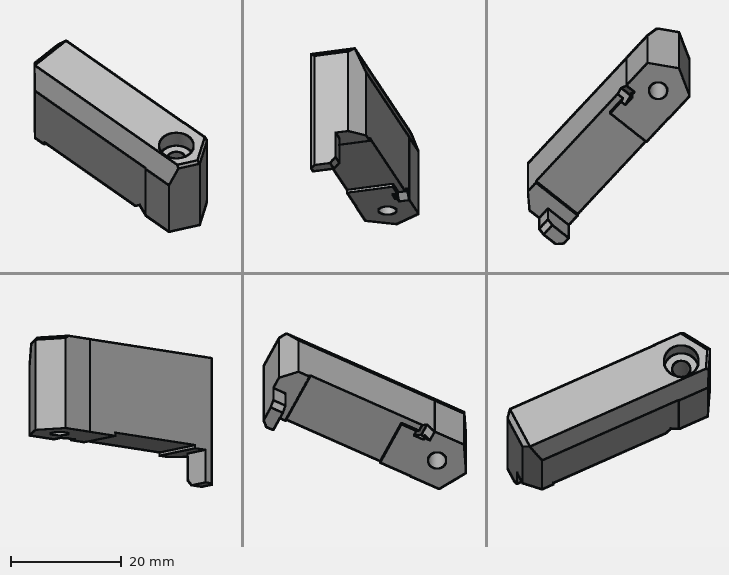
import cadquery as cq
import math

length = 38.8
height = 23.0
hex_width = 10.05
bar_width = 9.95
foot_drop = 5.98

bevel_height = 4.45
bevel_top_y = -3.3
front_corner_chamfer = 2.65
end_chamfer = 1.0
hex_top_chamfer = 0.5

foot_length = 2.45
foot_tip_chamfer = 1.05

recess_start = 4.93
recess_end = 23.98
recess_height = 0.6
setback_y = -3.7

notch_center = 28.5
notch_half_width = 1.5
notch_height = 1.63
notch_back_y = -3.05
notch_pocket_y = -2.68
notch_pocket_end = 29.0

hole_diameter = 3.3
counterbore_diameter = 6.25
counterbore_depth = 3.5

hex_radius = hex_width / math.sqrt(3)
hex_x = length - hex_radius
body_height = height - foot_drop


def box(x0, x1, y0, y1, z0, z1):
    return cq.Workplane("XY").box(x1 - x0, y1 - y0, z1 - z0, centered=False).translate((x0, y0, z0))


def prism_along_x(points, x0, x1):
    """Extrude a (Y, Z) outline from x0 to x1."""
    return cq.Workplane("YZ", origin=(x0, 0, 0)).polyline(points).close().extrude(x1 - x0)


def bevel_front(solid):
    """Cut one sloping plane along the whole top of the -Y side."""
    face_y = -hex_width / 2
    waste = prism_along_x(
        [(face_y, height - bevel_height), (bevel_top_y, height), (face_y, height)], 0, length
    )
    return solid.cut(waste)


def make_foot_blank():
    """End slab that reaches down to the foot tip, behind the centre plane."""
    back_y = bar_width / 2
    return prism_along_x(
        [(0, foot_drop), (0, foot_tip_chamfer), (foot_tip_chamfer, 0), (back_y, 0), (back_y, foot_drop)],
        0,
        foot_length,
    )


def make_bar():
    half = bar_width / 2
    bar = box(0, hex_x, -half, half, foot_drop, height).union(make_foot_blank())

    outline = (
        cq.Workplane("XY")
        .polyline([
            (0, front_corner_chamfer - half),
            (front_corner_chamfer, -half),
            (hex_x, -half),
            (hex_x, half),
            (end_chamfer, half),
            (0, half - end_chamfer),
        ])
        .close()
        .extrude(height)
    )
    bar = bar.intersect(outline)

    top_corner = (
        cq.Workplane("XZ", origin=(0, half, 0))
        .polyline([(0, height - end_chamfer), (end_chamfer, height), (0, height)])
        .close()
        .extrude(bar_width)
    )
    return bar.cut(top_corner)


def cut_underside(bar):
    half = bar_width / 2
    recess_top = foot_drop + recess_height
    through = box(recess_start, recess_end, -half, half, foot_drop, recess_top)
    front_strip = box(recess_end, notch_center, -half, setback_y, foot_drop, recess_top)
    return bar.cut(through).cut(front_strip)


def make_notch():
    """V-shaped cutter with a stepped back wall."""
    right_x = notch_center + notch_half_width
    top_z = foot_drop + notch_height
    front_y = -hex_width / 2
    wedge = (
        cq.Workplane("XZ", origin=(0, notch_pocket_y, 0))
        .polyline([
            (notch_center - notch_half_width, foot_drop),
            (notch_center, top_z),
            (right_x, foot_drop),
        ])
        .close()
        .extrude(notch_pocket_y - front_y)
    )
    step = box(notch_pocket_end, right_x, notch_back_y, notch_pocket_y, foot_drop, top_z)
    return wedge.cut(step)


def make_screw_end():
    end = (
        cq.Workplane("XY", origin=(hex_x, 0, foot_drop))
        .polygon(6, 2 * hex_radius)
        .extrude(body_height)
    )
    tip_edges = cq.selectors.BoxSelector(
        (hex_x + hex_radius / 2, -hex_width, height - 0.4), (length, hex_width, height + 0.4)
    )
    return end.edges(tip_edges).chamfer(hex_top_chamfer)


body = cut_underside(make_bar()).union(make_screw_end())
body = bevel_front(body.cut(make_notch()))

result = (
    body.faces(">Z")
    .workplane(origin=(hex_x, 0, height))
    .cboreHole(hole_diameter, counterbore_diameter, counterbore_depth)
)